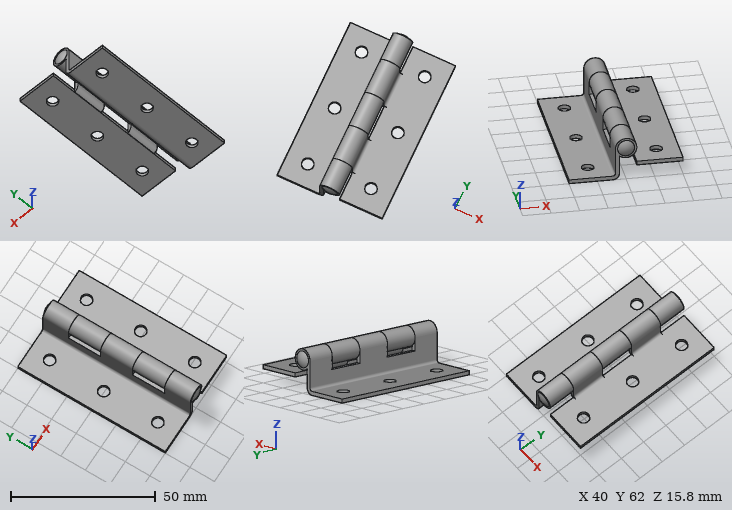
import cadquery as cq

pin_length = 62.0
leaf_length = 60.0
hinge_width = 40.0
hinge_height = 15.75

sheet = 1.5
inner_bend = 1.0
outer_bend = inner_bend + sheet
barrel_radius = 3.75
pin_radius = 3.0
dome_height = (pin_length - leaf_length) / 2
axis_height = hinge_height - barrel_radius

left_leaf_bottom = 0.0
right_leaf_bottom = 5.0

knuckle_length = 13.0
right_knuckle_centers = (-knuckle_length, knuckle_length)
window_bottom = 7.3

hole_diameter = 4.3
hole_offset = 12.0
hole_pitch = 22.0


def extrude_along_y(profile, length, center=0.0):
    """Extrude an XZ profile by a length that is centred on Y = center."""
    return profile.extrude(length).translate((0, center + length / 2, 0))


def block(x_min, x_max, length, z_min, z_max, center=0.0):
    """Make a box from its X and Z limits, centred on Y = center."""
    size = (x_max - x_min, length, z_max - z_min)
    return cq.Workplane("XY").box(*size).translate(((x_min + x_max) / 2, center, (z_min + z_max) / 2))


def bent_leaf(side, bottom, length, center=0.0):
    """Make a flat plate, bend, upright leg and barrel; side is -1 for left and 1 for right."""
    outer_x = side * hinge_width / 2
    leg_outside = side * barrel_radius
    leg_inside = side * (barrel_radius - sheet)
    bend_x = side * (barrel_radius + inner_bend)
    bend_z = bottom + outer_bend
    strip = (
        cq.Workplane("XZ")
        .moveTo(outer_x, bottom)
        .lineTo(bend_x, bottom)
        .radiusArc((leg_inside, bend_z), side * outer_bend)
        .lineTo(leg_inside, axis_height)
        .lineTo(leg_outside, axis_height)
        .lineTo(leg_outside, bend_z)
        .radiusArc((bend_x, bottom + sheet), -side * inner_bend)
        .lineTo(outer_x, bottom + sheet)
        .close()
    )
    barrel = cq.Workplane("XZ").center(0, axis_height).circle(barrel_radius)
    leaf = extrude_along_y(strip, length, center).union(extrude_along_y(barrel, length, center))
    bore = cq.Workplane("XZ").center(0, axis_height).circle(pin_radius)
    return leaf.cut(extrude_along_y(bore, length, center))


def screw_holes(side):
    """Make the cutters for the three screw holes of one leaf."""
    places = [(side * hole_offset, row * hole_pitch) for row in (-1, 0, 1)]
    return cq.Workplane("XY").pushPoints(places).circle(hole_diameter / 2).extrude(hinge_height)


def make_left_leaf():
    """Make the low leaf, with a window for each knuckle of the other leaf."""
    leaf = bent_leaf(-1, left_leaf_bottom, leaf_length)
    for center in right_knuckle_centers:
        window = block(-barrel_radius, barrel_radius, knuckle_length, window_bottom, hinge_height, center)
        leaf = leaf.cut(window)
    return leaf.cut(screw_holes(-1))


def make_right_leaf():
    """Make the raised leaf: a flat plate that bends up only at its two knuckles."""
    plate_top = right_leaf_bottom + sheet
    leaf = block(barrel_radius, hinge_width / 2, leaf_length, right_leaf_bottom, plate_top)
    for center in right_knuckle_centers:
        leaf = leaf.union(bent_leaf(1, right_leaf_bottom, knuckle_length, center))
    return leaf.cut(screw_holes(1))


def make_pin():
    """Make the pin by revolving half its outline, with a domed cap at each end."""
    shoulder = leaf_length / 2
    dome_radius = (pin_radius**2 + dome_height**2) / (2 * dome_height)
    return (
        cq.Workplane("XY")
        .moveTo(0, -pin_length / 2)
        .radiusArc((pin_radius, -shoulder), -dome_radius)
        .lineTo(pin_radius, shoulder)
        .radiusArc((0, pin_length / 2), -dome_radius)
        .close()
        .revolve(360, (0, 0, 0), (0, 1, 0))
        .translate((0, 0, axis_height))
    )


left_leaf = make_left_leaf()
right_leaf = make_right_leaf()
pin = make_pin()

result = cq.Compound.makeCompound([left_leaf.solids().val(), right_leaf.solids().val(), pin.val()])